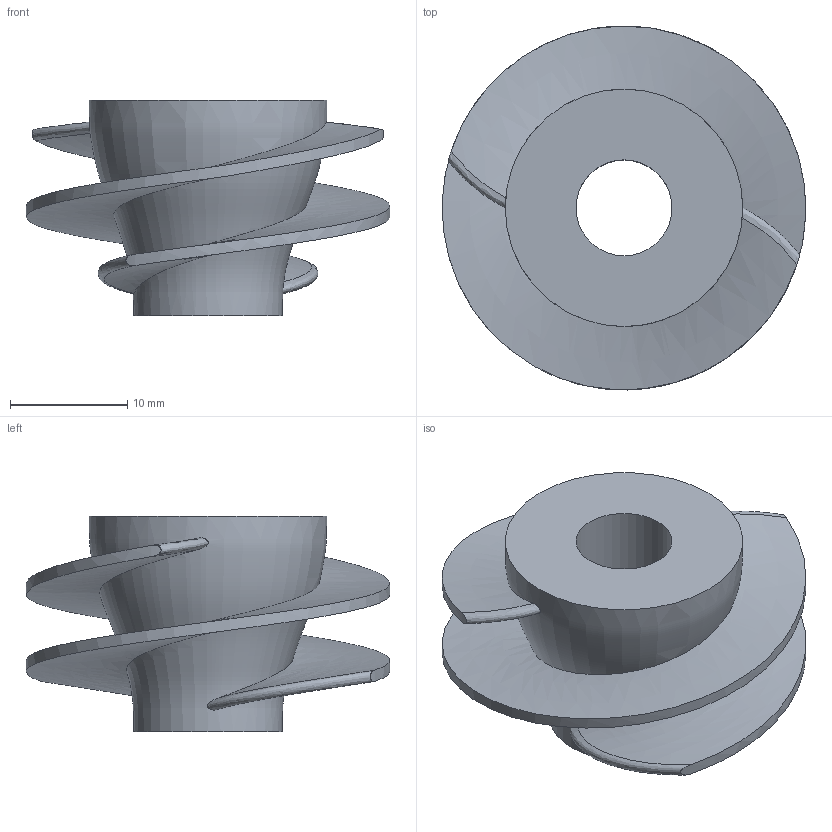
import cadquery as cq
import math

hub_height = 18.43
hub_bottom_radius = 6.34
hub_top_radius = 10.15
bore_diameter = 8.2
hub_flare_points = [
    (6.68, 4.2),
    (7.15, 5.85),
    (7.98, 8.35),
    (8.97, 10.9),
    (9.65, 13.3),
    (9.97, 15.0),
]

blade_count = 2
blade_radius = 15.55
blade_thickness = 0.96
nose_length = 0.85

helix_start_angle = 180.0
helix_start_height = 2.08
middle_start_angle = 240.0
middle_end_angle = 455.0
start_lead = 14.8
middle_lead = 13.1
finish_lead = 16.6

leading_root_radius = 6.4
leading_root_angle = helix_start_angle
leading_rim_angle = 243.2
trailing_root_radius = 10.1
trailing_root_angle = leading_root_angle + 360
trailing_rim_angle = 525.0

blade_root_radius = 5.2
skin_overshoot = 0.5
skin_inner_radius = blade_root_radius - skin_overshoot
skin_outer_radius = blade_radius + skin_overshoot
skin_sections = 7
points_per_side = 50


def blade_height(angle):
    """Height of the blade's middle surface at an angle in degrees."""
    start_turn = min(angle, middle_start_angle) - helix_start_angle
    middle_turn = max(min(angle, middle_end_angle) - middle_start_angle, 0)
    finish_turn = max(angle - middle_end_angle, 0)
    climb = start_turn * start_lead + middle_turn * middle_lead + finish_turn * finish_lead
    return helix_start_height + climb / 360


def blade_point(radius, angle, offset):
    """Point on the blade, offset vertically from its middle surface."""
    turn = math.radians(angle)
    return cq.Vector(radius * math.cos(turn), radius * math.sin(turn), blade_height(angle) + offset)


def end_angle(radius, root_radius, root_angle, rim_angle):
    """Angle of a blade end at the given radius."""
    outward = (radius - root_radius) / (blade_radius - root_radius)
    return root_angle + outward * (rim_angle - root_angle)


def blade_outline(radius):
    """Outline of the blade on a cylinder: upper side, trailing nose, lower side, leading nose."""
    leading_tip = end_angle(radius, leading_root_radius, leading_root_angle, leading_rim_angle)
    trailing_tip = end_angle(radius, trailing_root_radius, trailing_root_angle, trailing_rim_angle)
    nose_angle = math.degrees(nose_length / radius)
    first = leading_tip + nose_angle
    last = trailing_tip - nose_angle
    half = blade_thickness / 2

    def side(offset):
        step = (last - first) / (points_per_side - 1)
        points = [blade_point(radius, first + i * step, offset) for i in range(points_per_side)]
        return cq.Edge.makeSpline(points)

    def nose(tip, base):
        points = [
            blade_point(radius, base, half),
            blade_point(radius, tip, 0),
            blade_point(radius, base, -half),
        ]
        away = (blade_point(radius, tip, 0) - blade_point(radius, base, 0)).normalized()
        return cq.Edge.makeSpline(points, tangents=[away, away * -1])

    edges = [side(half), nose(trailing_tip, last), side(-half), nose(leading_tip, first)]
    return cq.Wire.assembleEdges(edges)


def make_blade():
    """The part of a ring, reaching from inside the hub to the rim, that the blade's skin encloses."""
    span = skin_outer_radius - skin_inner_radius
    radii = [skin_inner_radius + span * i / (skin_sections - 1) for i in range(skin_sections)]
    skin = cq.occ_impl.shapes.loft(*[blade_outline(radius) for radius in radii], cap=False)
    ring = cq.Workplane("XY").circle(blade_radius).circle(blade_root_radius).extrude(hub_height)
    pieces = ring.val().split(skin).Solids()
    return min(pieces, key=lambda piece: piece.Volume())


def make_hub():
    """Flared hub, upright at its bottom and top ends."""
    side_points = hub_flare_points + [(hub_top_radius, hub_height)]
    return (
        cq.Workplane("XZ")
        .lineTo(hub_bottom_radius, 0)
        .spline(side_points, tangents=[(0, 1), (0, 1)], includeCurrent=True)
        .lineTo(0, hub_height)
        .close()
        .revolve(360, (0, 0), (0, 1))
    )


def make_bore():
    """Straight bore through the whole hub."""
    return cq.Workplane("XY").circle(bore_diameter / 2).extrude(hub_height)


screw = make_hub()
blade = cq.Workplane(make_blade())
for number in range(blade_count):
    turn = 360 * number / blade_count
    screw = screw.union(blade.rotate((0, 0, 0), (0, 0, 1), turn))
result = screw.cut(make_bore())